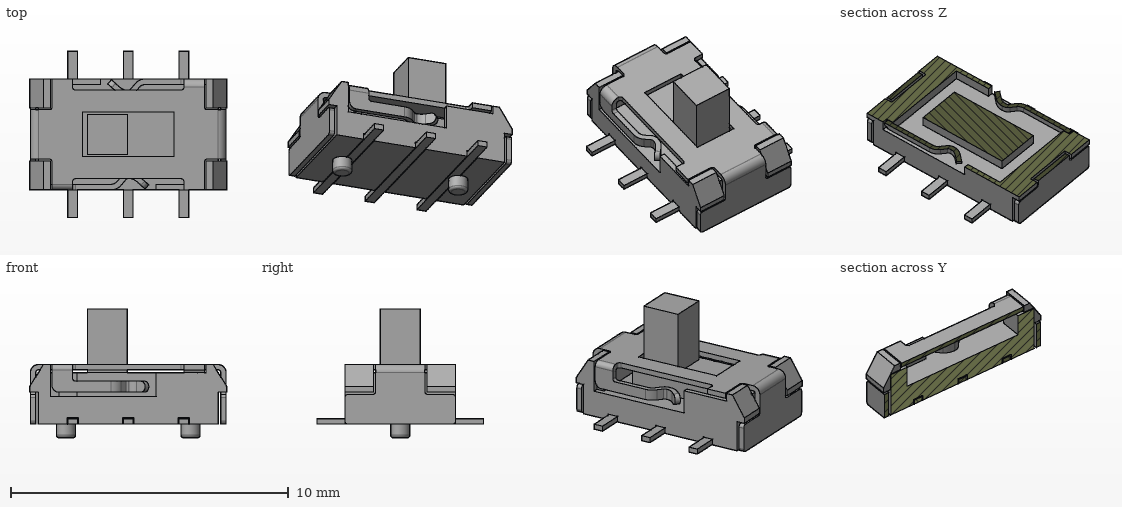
import cadquery as cq
import math

overall_length = 7.1
overall_span = 6.0
actuator_top = 4.15

body_length = 6.5
body_width = 4.0
rim_top = 1.85
cavity_floor = 0.99
cavity_length = 5.0
rim_thickness = 0.2
recess_end_x = 1.0
corner_inner_x = 2.8
corner_inner_y = 0.96
corner_top = 2.15
corner_bottom = 1.15
corner_slope_bottom = 1.36
corner_slope_top_x = 3.05
post_diameter = 0.695
post_length = 0.5
post_x = 2.245
post_rounding = 0.1

terminal_pitch = 2.0
terminal_width = 0.355
terminal_thickness = 0.2
terminal_clearance = 0.025

slider_base_length = 3.7
slider_base_width = 1.795
stem_side = 1.45
stem_x = -0.75

sheet = 0.2
cover_length = 7.06
plate_length = 5.495
tongue_width = 1.775
flap_top = 1.07
flap_rounding = 0.12
end_bend_outer_radius = 0.3
end_bend_inner_radius = 0.1
relief_rounding = 0.1
window_length = 3.3
window_width = 1.6
notch_length = 4.005
notch_edge_y = 1.6
notch_rounding = 0.1

front_bend_outer_radius = sheet
back_bend_outer_radius = 0.3
side_bend_inner_radius = 0.1
arm_bottom = 1.15
arm_top = 1.55
tab_corner_radius = 0.25
arm_root_radius = 0.1
straight_length = 1.38
rise_angle = 49.5
rise_radius = 0.39
rise_length = 0.255
crest_radius_in = 0.22
crest_length = 0.02
crest_radius_out = 0.51
fall_angle = 41.5
fall_length = 0.41

half_width = body_width / 2
cover_top = corner_top
plate_bottom = cover_top - sheet
notch_x = notch_length / 2
plate_x = plate_length / 2
tongue_y = tongue_width / 2
arm_height = arm_top - arm_bottom
edge_tolerance = 0.01
terminal_rows = [i * terminal_pitch for i in (-1, 0, 1)]


def block(x_range, y_range, z_range):
    """Axis-aligned box between the given limits."""
    size = [high - low for low, high in (x_range, y_range, z_range)]
    corner = (x_range[0], y_range[0], z_range[0])
    return cq.Workplane().box(*size, centered=False).translate(corner)


def half_turn(shape):
    """Copy of a shape turned by 180 degrees about the Z axis."""
    return shape.rotate((0, 0, 0), (0, 0, 1), 180)


def four_corners(shape):
    """The shape and its mirror copies in all four quadrants, as one workplane."""
    pair = shape.union(shape.mirror("YZ"))
    return pair.union(pair.mirror("XZ"))


def corner_pillar():
    """Full-height pillar at +X and +Y, with an overhang whose outer face is sloped."""
    body_x = body_length / 2
    outer_x = overall_length / 2
    return (
        cq.Workplane("XZ")
        .moveTo(corner_inner_x, 0)
        .lineTo(body_x, 0)
        .lineTo(body_x, corner_bottom)
        .lineTo(outer_x, corner_bottom)
        .lineTo(outer_x, corner_slope_bottom)
        .lineTo(corner_slope_top_x, corner_top)
        .lineTo(corner_inner_x, corner_top)
        .close()
        .extrude(half_width - corner_inner_y)
        .translate((0, half_width, 0))
    )


def make_housing():
    middle = cq.Workplane().rect(2 * corner_inner_x, body_width).extrude(rim_top)
    ends = cq.Workplane().rect(body_length, 2 * corner_inner_y).extrude(rim_top)
    body = middle.union(ends).union(four_corners(corner_pillar()))

    cavity_depth = rim_top - cavity_floor
    cavity_width = body_width - 2 * rim_thickness
    cavity = cq.Workplane(origin=(0, 0, cavity_floor)).rect(cavity_length, cavity_width).extrude(cavity_depth)
    arm_recess = block(
        (-corner_inner_x, recess_end_x),
        (-half_width, -half_width + rim_thickness),
        (cavity_floor, rim_top),
    )
    body = body.cut(cavity).cut(arm_recess).cut(half_turn(arm_recess))

    terminal_slots = (
        cq.Workplane()
        .pushPoints([(x, 0) for x in terminal_rows])
        .rect(terminal_width + 2 * terminal_clearance, body_width)
        .extrude(terminal_thickness + terminal_clearance)
    )
    posts = (
        cq.Workplane()
        .pushPoints([(-post_x, 0), (post_x, 0)])
        .circle(post_diameter / 2)
        .extrude(-post_length)
        .faces("<Z")
        .edges()
        .fillet(post_rounding)
    )
    return body.cut(terminal_slots).union(posts)


def make_terminal(x):
    return (
        cq.Workplane()
        .center(x, 0)
        .rect(terminal_width, overall_span)
        .extrude(terminal_thickness)
    )


def make_slider():
    base_height = rim_top - cavity_floor
    base = cq.Workplane(origin=(0, 0, cavity_floor)).rect(slider_base_length, slider_base_width)
    stem = cq.Workplane(origin=(stem_x, 0, rim_top)).rect(stem_side, stem_side)
    return base.extrude(base_height).union(stem.extrude(actuator_top - rim_top))


def bent_sheet():
    """Sheet over the housing, bent down at both X ends."""
    inside_length = cover_length - 2 * sheet
    outside = cq.Workplane().box(cover_length, body_width, cover_top, centered=(True, True, False))
    inside = cq.Workplane().box(inside_length, body_width, plate_bottom, centered=(True, True, False))
    outside = outside.edges("|Y and >Z").fillet(end_bend_outer_radius)
    inside = inside.edges("|Y and >Z").fillet(end_bend_inner_radius)
    return outside.cut(inside)


def corner_relief():
    """Clearance for a housing pillar at +X and +Y, rounded in plan and on the flap."""
    x_range = (plate_x, overall_length)
    y_range = (tongue_y, body_width)
    z_range = (flap_top, actuator_top)
    plan = block(x_range, y_range, z_range).edges("|Z and <X and <Y").fillet(relief_rounding)
    side = block(x_range, y_range, z_range).edges("|X and <Y and <Z").fillet(relief_rounding)
    return plan.intersect(side)


def side_notch():
    """Notch in the long -Y edge, above the spring strip."""
    return block(
        (-notch_x, notch_x), (-half_width, -notch_edge_y), (plate_bottom, cover_top)
    ).edges("|Z and >Y").fillet(notch_rounding)


def follow(station, length, turn):
    """Next (x, y, heading) after a stretch of the arm's centre line that turns left by `turn` radians."""
    x, y, heading = station
    chord = length if turn == 0 else 2 * length / turn * math.sin(turn / 2)
    chord_heading = heading + turn / 2
    return (
        x + chord * math.cos(chord_heading),
        y + chord * math.sin(chord_heading),
        heading + turn,
    )


def beside(station, offset):
    """Point at a distance to the left of a station."""
    x, y, heading = station
    return (x - offset * math.sin(heading), y + offset * math.cos(heading))


def spring_strip():
    """Strip that rises to a crest towards the slider and falls back to a round tip."""
    rise = math.radians(rise_angle)
    fall = math.radians(fall_angle)
    tip_radius = arm_height / 2
    stretches = [
        (straight_length, 0),
        (rise_radius * rise, rise),
        (rise_length, 0),
        (crest_radius_in * rise, -rise),
        (crest_length, 0),
        (crest_radius_out * fall, -fall),
        (fall_length - tip_radius, 0),
    ]
    half = sheet / 2
    strip = cq.Workplane()
    start = (-notch_x, -half_width + half, 0.0)
    for length, turn in stretches:
        middle = follow(start, length / 2, turn / 2)
        end = follow(start, length, turn)
        stretch = (
            cq.Workplane(origin=(0, 0, arm_bottom))
            .moveTo(*beside(end, -half))
            .lineTo(*beside(end, half))
        )
        if turn == 0:
            stretch = stretch.lineTo(*beside(start, half)).lineTo(*beside(start, -half))
        else:
            stretch = (
                stretch.threePointArc(beside(middle, half), beside(start, half))
                .lineTo(*beside(start, -half))
                .threePointArc(beside(middle, -half), beside(end, -half))
            )
        strip = strip.add(stretch.close().extrude(arm_height))
        start = end

    tip_x, tip_y, heading = start
    across = (-math.sin(heading), math.cos(heading), 0)
    along = (math.cos(heading), math.sin(heading), 0)
    tip_plane = cq.Plane(origin=(tip_x, tip_y, arm_bottom + tip_radius), xDir=along, normal=across)
    tip = cq.Workplane(tip_plane).circle(tip_radius).extrude(half, both=True)
    return strip.combine().union(tip)


def spring_arm():
    """Tab hanging from the -Y edge of the sheet, with the spring strip at its foot."""
    tab = block((-plate_x, -notch_x), (-half_width, -half_width + sheet), (arm_bottom, cover_top))
    tab = tab.edges("|Y and <X and <Z").fillet(tab_corner_radius)
    arm = tab.union(spring_strip())

    def is_root(edge):
        return math.hypot(edge.Center().x + notch_x, edge.Center().z - arm_top) < edge_tolerance

    return arm.edges("|Y").filter(is_root).fillet(arm_root_radius)


def round_side_bend(cover, side, outer_radius):
    """Rounds both bend lines of the tab on the -Y edge (side -1) or on the +Y edge (side 1)."""
    tab_x = side * (plate_x + notch_x) / 2

    def at_bend(y, z):
        bend = cq.Vector(tab_x, side * y, z)
        return lambda edge: (edge.Center() - bend).Length < edge_tolerance

    cover = cover.edges("|X").filter(at_bend(half_width, cover_top)).fillet(outer_radius)
    inner_bend = at_bend(half_width - sheet, plate_bottom)
    return cover.edges("|X").filter(inner_bend).fillet(side_bend_inner_radius)


def make_cover():
    window = cq.Workplane(origin=(0, 0, plate_bottom)).rect(window_length, window_width).extrude(sheet)
    cover = bent_sheet().cut(four_corners(corner_relief())).cut(window)

    def is_flap_corner(edge):
        return abs(edge.Center().x) > plate_x and abs(edge.Center().y) > half_width - edge_tolerance

    cover = cover.edges("|X").filter(is_flap_corner).fillet(flap_rounding)

    notch = side_notch()
    arm = spring_arm()
    cover = cover.cut(notch).cut(half_turn(notch)).union(arm).union(half_turn(arm))

    cover = round_side_bend(cover, -1, front_bend_outer_radius)
    return round_side_bend(cover, 1, back_bend_outer_radius)


housing = make_housing()
slider = make_slider()
cover = make_cover()
terminals = [make_terminal(x) for x in terminal_rows]

result = cq.Compound.makeCompound(
    [housing.val(), slider.val(), cover.val(), *[terminal.val() for terminal in terminals]]
)